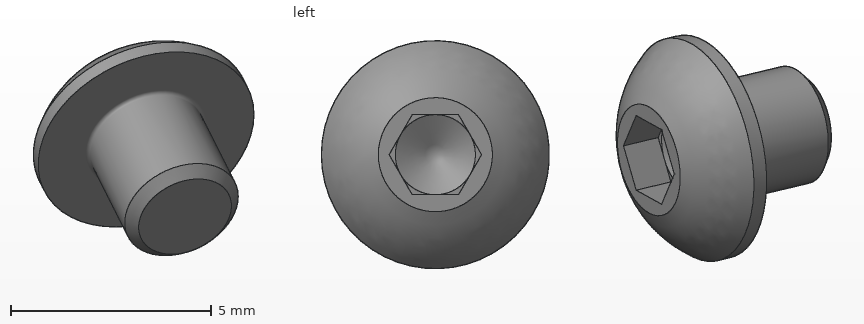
import cadquery as cq
import math

head_diameter = 5.7
face_diameter = 2.85
dome_height = 1.265
dome_bulge = 0.14
head_height = 1.65
total_length = 4.65
shank_diameter = 3.0
tip_chamfer = 0.275
neck_fillet = 0.095
socket_across_flats = 2.0
socket_depth = 1.04
socket_cone_angle = 120.0

head_radius = head_diameter / 2
face_radius = face_diameter / 2
shank_radius = shank_diameter / 2
socket_radius = socket_across_flats / 2


def dome_midpoint():
    """Middle of the dome arc, offset outward from the middle of its chord."""
    rise = head_radius - face_radius
    chord = math.hypot(dome_height, rise)
    x = dome_height / 2 - dome_bulge * rise / chord
    radius = (face_radius + head_radius) / 2 + dome_bulge * dome_height / chord
    return x, radius


def make_body():
    """Revolve the head, neck fillet and chamfered shank about the X axis."""
    fillet_middle = neck_fillet * (1 - math.sqrt(0.5))
    profile = (
        cq.Workplane("XY")
        .lineTo(0, face_radius)
        .threePointArc(dome_midpoint(), (dome_height, head_radius))
        .lineTo(head_height, head_radius)
        .lineTo(head_height, shank_radius + neck_fillet)
        .threePointArc(
            (head_height + fillet_middle, shank_radius + fillet_middle),
            (head_height + neck_fillet, shank_radius),
        )
        .lineTo(total_length - tip_chamfer, shank_radius)
        .lineTo(total_length, shank_radius - tip_chamfer)
        .lineTo(total_length, 0)
        .close()
    )
    return profile.revolve(360, (0, 0, 0), (1, 0, 0))


def make_socket():
    """Hexagonal socket with corners on the Y axis and a conical bottom."""
    across_corners = socket_across_flats / math.cos(math.pi / 6)
    hexagon = cq.Workplane("YZ").polygon(6, across_corners).extrude(socket_depth)
    cone_depth = socket_radius / math.tan(math.radians(socket_cone_angle / 2))
    cone = cq.Workplane(
        cq.Solid.makeCone(
            socket_radius, 0, cone_depth, cq.Vector(socket_depth, 0, 0), cq.Vector(1, 0, 0)
        )
    )
    return hexagon.union(cone)


result = make_body().cut(make_socket())